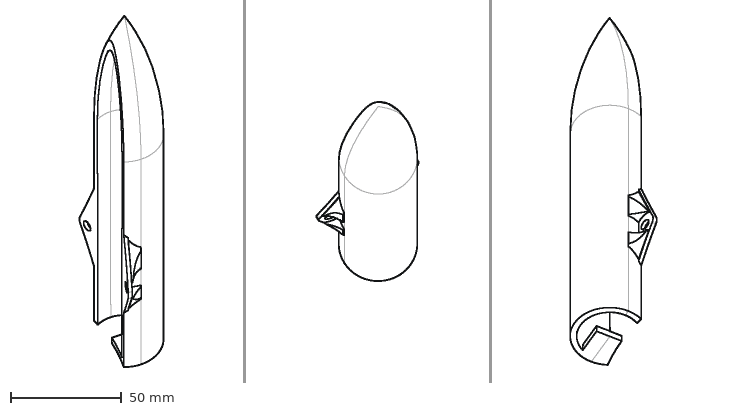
import cadquery as cq
import math

total_length = 209.55
nose_length = 76.2
body_radius = 17.78
body_length = total_length - nose_length

cavity_base_radius = 14.8
cavity_nose_radius = 15.1
cavity_nose_length = 72.0

tube_radius = 91.0
saddle_depth = 6.25
tube_axis_y = -(saddle_depth + tube_radius)

ear_half_span = 26.365
ear_thickness = 1.9
hole_x = 21.1
hole_z = 57.15
hole_diameter = 4.9
ear_tip_radius = ear_half_span - hole_x
ear_root_x = 13.5
ear_rise = 35.5
ear_drop = 27.0

blend_radius = 15.0
blend_draft = 12.0
head_clearance_diameter = 13.0

floor_thickness = 3.5
floor_back_y = 6.6

through = 2 * body_radius


def ogive_body(base_radius, shoulder_radius, ogive_length):
    """Round solid, a straight or conical shank ending in a tangent ogive, in halves joined at Y = 0."""
    arc_radius = (shoulder_radius**2 + ogive_length**2) / (2 * shoulder_radius)
    arc_center = arc_radius - shoulder_radius
    half_sweep = math.asin(ogive_length / arc_radius) / 2
    mid_radius = arc_radius * math.cos(half_sweep) - arc_center
    mid_z = body_length + arc_radius * math.sin(half_sweep)
    half = (
        cq.Workplane("XZ")
        .lineTo(-base_radius, 0)
        .lineTo(-shoulder_radius, body_length)
        .threePointArc((-mid_radius, mid_z), (0, body_length + ogive_length))
        .close()
        .revolve(180, (0, 0, 0), (0, 1, 0))
    )
    return half.union(half.mirror("XZ"), clean=False)


def tube(radius):
    return cq.Workplane("XY").center(0, tube_axis_y).circle(radius).extrude(total_length)


def ear_edge_tangent(root_height):
    """Point where the edge from the ear root meets the rounded tip (+X ear)."""
    root_dx = ear_root_x - hole_x
    root_direction = math.atan2(abs(root_height), root_dx)
    tangent_angle = root_direction - math.acos(ear_tip_radius / math.hypot(root_dx, root_height))
    rise = ear_tip_radius * math.sin(tangent_angle)
    return (
        hole_x + ear_tip_radius * math.cos(tangent_angle),
        hole_z + math.copysign(rise, root_height),
    )


def ear_prism(start_y, depth, draft=0):
    """Kite outline of the +X ear, extruded along +Y from start_y."""
    top_z = hole_z + ear_rise
    bottom_z = hole_z - ear_drop
    return (
        cq.Workplane("XZ", origin=(0, start_y, 0))
        .moveTo(0, top_z)
        .lineTo(ear_root_x, top_z)
        .lineTo(*ear_edge_tangent(ear_rise))
        .threePointArc((ear_half_span, hole_z), ear_edge_tangent(-ear_drop))
        .lineTo(ear_root_x, bottom_z)
        .lineTo(0, bottom_z)
        .close()
        .extrude(-depth, taper=draft)
    )


def blend_fill():
    """Prism along Z filling the corner between the body and the ear's outer face (+X side)."""
    ear_face_radius = tube_radius + ear_thickness
    to_body_axis = body_radius + blend_radius
    to_tube_axis = ear_face_radius + blend_radius
    center_y = (to_tube_axis**2 - to_body_axis**2 - tube_axis_y**2) / (-2 * tube_axis_y)
    center_x = math.sqrt(to_body_axis**2 - center_y**2)
    ear_share = ear_face_radius / to_tube_axis
    ear_contact = (center_x * ear_share, tube_axis_y + (center_y - tube_axis_y) * ear_share)
    corner = (
        cq.Workplane("XY")
        .polyline([(0, 0), (center_x, 0), ear_contact, (0, tube_axis_y)])
        .close()
        .extrude(total_length)
    )
    blend_cylinder = (
        cq.Workplane("XY").center(center_x, center_y).circle(blend_radius).extrude(total_length)
    )
    return corner.cut(blend_cylinder)


def hole_cylinder(diameter):
    """Cylinder through the +X ear along Y, on the screw axis."""
    return (
        cq.Workplane("XZ", origin=(hole_x, 0, hole_z))
        .circle(diameter / 2)
        .extrude(through, both=True)
    )


def ear():
    """The +X ear with its blend; it still reaches into the cavity and the tube."""
    plate = tube(tube_radius + ear_thickness).intersect(ear_prism(-through, 2 * through))
    ear_face_y = tube_axis_y + math.sqrt((tube_radius + ear_thickness) ** 2 - ear_half_span**2)
    blend = (
        blend_fill()
        .intersect(ear_prism(ear_face_y, -ear_face_y, blend_draft))
        .cut(hole_cylinder(head_clearance_diameter))
    )
    return plate.union(blend)


def base_floor():
    return cq.Workplane("XY").box(
        body_radius, through + floor_back_y, floor_thickness, centered=False
    ).translate((0, -through, 0))


right_ear = ear()
left_ear = right_ear.mirror("YZ")
right_hole = hole_cylinder(hole_diameter)
left_hole = right_hole.mirror("YZ")
cavity = ogive_body(cavity_base_radius, cavity_nose_radius, cavity_nose_length).cut(base_floor())

result = (
    ogive_body(body_radius, body_radius, nose_length)
    .union(right_ear, clean=False)
    .union(left_ear, clean=False)
    .cut(cavity, clean=False)
    .cut(tube(tube_radius), clean=False)
    .cut(right_hole, clean=False)
    .cut(left_hole, clean=False)
)